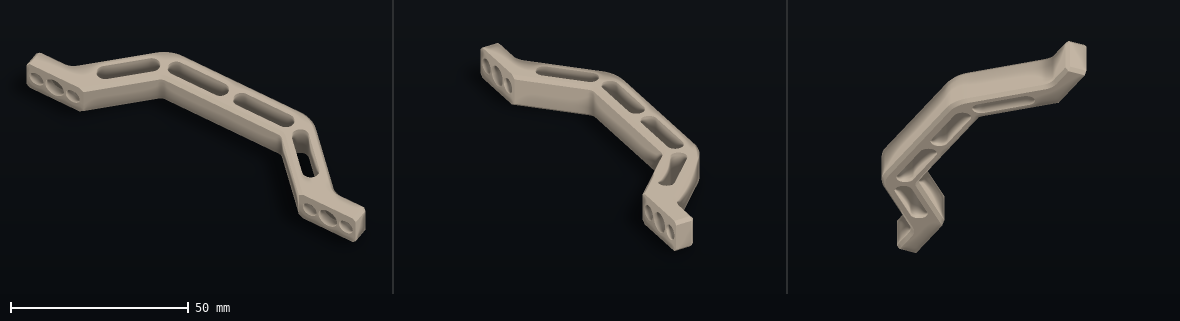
import cadquery as cq
import math

length = 110.0
depth = 26.5
thickness = 10.0

foot_depth = 6.0
foot_length = 19.0
bar_inner_y = 16.1
outer_bend_x = 23.8
outer_bend_radius = 10.0
inner_bend_radius = 2.4
foot_bend_radius = 5.0
chamfer = 1.0

slot_width = 5.0
bar_slot_y = 20.9
bar_slot_inner_x = 1.1
bar_slot_outer_x = 20.8
leg_slot_high = (24.9, 18.3)
leg_slot_length = 18.4
leg_angle = 45.0

foot_hole_x = 45.6
foot_hole_spacing = 6.0
center_hole_diameter = 6.2
side_hole_diameter = 4.6
hole_depth = 3.0

half_length = length / 2
foot_inner_x = half_length - foot_length
inner_bend_x = foot_inner_x - bar_inner_y
foot_bend_x = outer_bend_x + depth - foot_depth
tolerance = 0.01


def vertical_edges_at(body, x, y):
    """Select the pair of vertical edges at (-x, y) and (x, y)."""
    reach = 2 * tolerance
    left = cq.selectors.BoxSelector((-x - reach, y - reach, -thickness), (-x + reach, y + reach, thickness))
    right = cq.selectors.BoxSelector((x - reach, y - reach, -thickness), (x + reach, y + reach, thickness))
    return body.edges("|Z").edges(left + right)


def make_body():
    """Bent handle with rounded bends and chamfered edges, except around the mounting faces."""
    right_half = [
        (inner_bend_x, bar_inner_y),
        (foot_inner_x, 0),
        (half_length, 0),
        (half_length, foot_depth),
        (foot_bend_x, foot_depth),
        (outer_bend_x, depth),
    ]
    left_half = [(-x, y) for x, y in reversed(right_half)]
    body = (
        cq.Workplane("XY")
        .polyline(right_half + left_half)
        .close()
        .extrude(thickness / 2, both=True)
    )
    bends = [
        (outer_bend_x, depth, outer_bend_radius),
        (inner_bend_x, bar_inner_y, inner_bend_radius),
        (foot_bend_x, foot_depth, foot_bend_radius),
    ]
    for x, y, radius in bends:
        body = vertical_edges_at(body, x, y).fillet(radius)

    mounting_plane = cq.selectors.BoxSelector(
        (-length, -tolerance, -thickness), (length, tolerance, thickness)
    )
    rims = body.faces("<Z or >Z").edges().edges(cq.selectors.InverseSelector(mounting_plane))
    foot_corners = vertical_edges_at(body, half_length, foot_depth)
    return rims.add(foot_corners).chamfer(chamfer)


def make_slot(x, y, slot_length, angle):
    """Cutter for a round-ended slot through the full thickness."""
    return (
        cq.Workplane("XY")
        .center(x, y)
        .slot2D(slot_length, slot_width, angle)
        .extrude(thickness, both=True)
    )


def make_foot_hole(x, diameter):
    """Cutter for a blind hole entering a foot from its mounting face."""
    return cq.Workplane("XZ").center(x, 0).circle(diameter / 2).extrude(-hole_depth)


result = make_body()

leg_slot_offset = (leg_slot_length - slot_width) / 2 * math.sin(math.radians(leg_angle))
leg_slot_x = leg_slot_high[0] + leg_slot_offset
leg_slot_y = leg_slot_high[1] - leg_slot_offset
bar_slot_x = (bar_slot_inner_x + bar_slot_outer_x) / 2
bar_slot_length = bar_slot_outer_x - bar_slot_inner_x

for side in (-1, 1):
    result = result.cut(make_slot(side * bar_slot_x, bar_slot_y, bar_slot_length, 0))
    result = result.cut(make_slot(side * leg_slot_x, leg_slot_y, leg_slot_length, -side * leg_angle))
    result = result.cut(make_foot_hole(side * foot_hole_x, center_hole_diameter))
    for offset in (-foot_hole_spacing, foot_hole_spacing):
        result = result.cut(make_foot_hole(side * foot_hole_x + offset, side_hole_diameter))